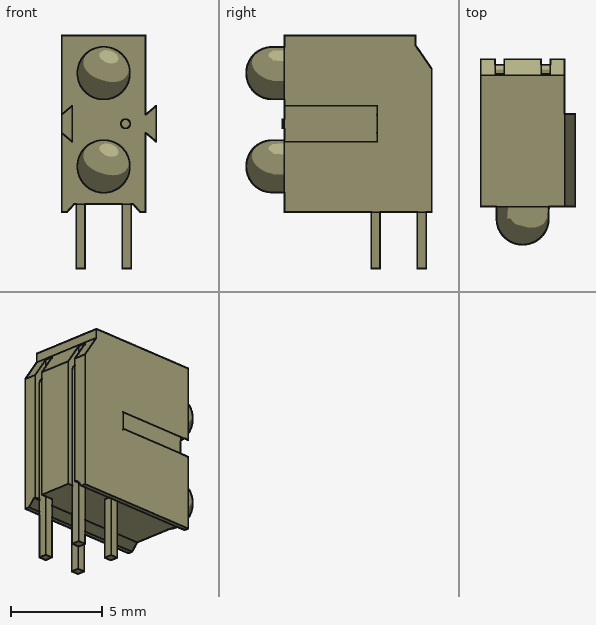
import cadquery as cq

body_width = 4.61
body_depth = 8.1
body_height = 9.7

rear_step_depth = 0.9
rear_step_drop = 0.54
rear_slope_drop = 1.84

foot_width = 0.3
channel_side_run = 0.4
channel_height = 0.44

dovetail_length = 5.1
dovetail_depth = 0.59
dovetail_neck = 1.0
dovetail_wide = 2.0
dovetail_z = body_height / 2

lens_radius = 1.45
lens_length = 2.1
lens_pitch = 5.12
upper_lens_z = body_height - 2.07

stud_radius = 0.25
stud_length = 0.1
stud_x = 1.2

lead_size = 0.5
lead_pitch = 2.53
lead_drop = 3.1
rear_lead_inset = 0.31
rear_lead_y = body_depth - rear_lead_inset - lead_size / 2
rear_lead_top = upper_lens_z + lead_size / 2
lead_xs = (-lead_pitch / 2, lead_pitch / 2)


def make_housing():
    side_profile = [
        (0, 0),
        (body_depth, 0),
        (body_depth, body_height - rear_slope_drop),
        (body_depth - rear_step_depth, body_height - rear_step_drop),
        (body_depth - rear_step_depth, body_height),
        (0, body_height),
    ]
    return cq.Workplane("YZ").polyline(side_profile).close().extrude(body_width / 2, both=True)


def extrude_back(points, length):
    """Extrude an X-Z outline from the front face toward +Y."""
    return cq.Workplane("XZ").polyline(points).close().extrude(-length)


def make_channel():
    bottom_half = body_width / 2 - foot_width
    top_half = bottom_half - channel_side_run
    outline = [
        (-bottom_half, 0),
        (bottom_half, 0),
        (top_half, channel_height),
        (-top_half, channel_height),
    ]
    return extrude_back(outline, body_depth)


def make_dovetail(neck_x):
    """Dovetail prism that widens toward +X from its neck."""
    outline = [
        (neck_x, dovetail_z - dovetail_neck / 2),
        (neck_x + dovetail_depth, dovetail_z - dovetail_wide / 2),
        (neck_x + dovetail_depth, dovetail_z + dovetail_wide / 2),
        (neck_x, dovetail_z + dovetail_neck / 2),
    ]
    return extrude_back(outline, dovetail_length)


def make_lens(z):
    """Round barrel with a hemispherical tip, turned about a line along -Y."""
    barrel_length = lens_length - lens_radius
    half_profile = (
        cq.Workplane("YZ")
        .lineTo(0, lens_radius)
        .lineTo(-barrel_length, lens_radius)
        .radiusArc((-lens_length, 0), -lens_radius)
        .close()
    )
    return half_profile.revolve(360, (0, 0), (1, 0)).translate((0, 0, z))


def make_box(x, y_center, y_size, z_low, z_high):
    """Box as wide as a lead, centred on x."""
    box = cq.Workplane("XY").box(lead_size, y_size, z_high - z_low, centered=(True, True, False))
    return box.translate((x, y_center, z_low))


def make_rear_lead(x):
    """Lead whose top is a quarter round where it bends into the housing."""
    inner_y = rear_lead_y - lead_size / 2
    outer_y = rear_lead_y + lead_size / 2
    profile = (
        cq.Workplane("YZ")
        .moveTo(inner_y, -lead_drop)
        .lineTo(outer_y, -lead_drop)
        .lineTo(outer_y, rear_lead_top - lead_size)
        .radiusArc((inner_y, rear_lead_top), -lead_size)
        .close()
    )
    return profile.extrude(lead_size / 2, both=True).translate((x, 0, 0))


result = make_housing().cut(make_channel())
result = result.cut(make_dovetail(-body_width / 2))
result = result.union(make_dovetail(body_width / 2))

for lens_z in (upper_lens_z, upper_lens_z - lens_pitch):
    result = result.union(make_lens(lens_z))

stud = cq.Workplane("XZ").center(stud_x, dovetail_z).circle(stud_radius).extrude(stud_length)
result = result.union(stud)

slot_depth = rear_lead_inset + lead_size
for lead_x in lead_xs:
    slot = make_box(lead_x, body_depth - slot_depth / 2, slot_depth, 0, body_height)
    front_lead = make_box(lead_x, rear_lead_y - lead_pitch, lead_size, -lead_drop, channel_height)
    result = result.cut(slot).union(make_rear_lead(lead_x)).union(front_lead)